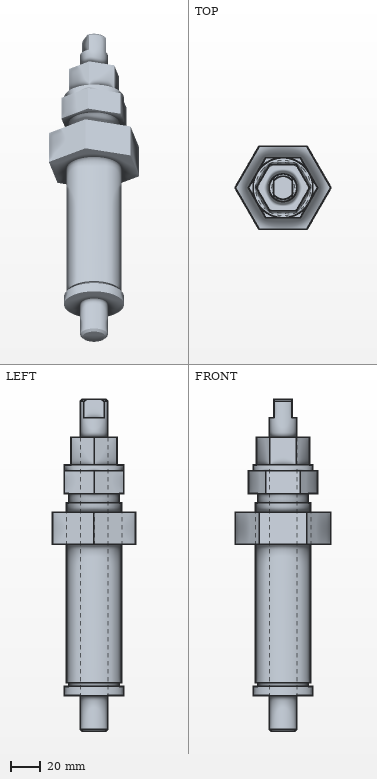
import cadquery as cq
import math

INCH = 25.4

overall_length = 9.0 * INCH
flange_bottom = 0.96875 * INCH
flange_thickness = 0.25 * INCH
lower_neck_length = 0.09375 * INCH
barrel_length = 4.875 * INCH
upper_neck_length = 0.25 * INCH
lower_hex_height = 0.625 * INCH
collar_thickness = 0.15625 * INCH
upper_hex_height = 0.75 * INCH

barrel_diameter = 1.5 * INCH
neck_diameter = 1.375 * INCH
flange_diameter = 1.625 * INCH
lower_hex_flats = flange_diameter
upper_hex_flats = 1.25 * INCH

rod_diameter = 0.75 * INCH
rod_chamfer = 0.0625 * INCH
rod_flats = 0.5 * INCH
rod_flats_length = 0.5 * INCH

nut_flats = 2.25 * INCH
nut_height = 0.875 * INCH
nut_setback = 0.25 * INCH

flange_top = flange_bottom + flange_thickness
barrel_bottom = flange_top + lower_neck_length
barrel_top = barrel_bottom + barrel_length
nut_bottom = barrel_top - nut_setback - nut_height


def disc(diameter, height, bottom=0):
    """Upright cylinder on the Z axis."""
    return cq.Workplane("XY").workplane(offset=bottom).circle(diameter / 2).extrude(height)


def hexagon(across_flats, height, bottom=0):
    """Upright hexagonal prism on the Z axis with corners on the X axis."""
    across_corners = across_flats / math.cos(math.pi / 6)
    return cq.Workplane("XY").workplane(offset=bottom).polygon(6, across_corners).extrude(height)


def make_body():
    """Barrel with necks, end flange and hexagonal head, bored through for the rod."""
    sections = [
        (disc, flange_diameter, flange_thickness),
        (disc, neck_diameter, lower_neck_length),
        (disc, barrel_diameter, barrel_length),
        (disc, neck_diameter, upper_neck_length),
        (hexagon, lower_hex_flats, lower_hex_height),
        (disc, flange_diameter, collar_thickness),
        (hexagon, upper_hex_flats, upper_hex_height),
    ]
    body = cq.Workplane("XY")
    bottom = flange_bottom
    for shape, width, height in sections:
        body = body.union(shape(width, height, bottom))
        bottom += height
    return body.cut(disc(rod_diameter, overall_length))


def make_rod():
    """Round rod chamfered at both ends, with two wrench flats facing X at the top."""
    rod = disc(rod_diameter, overall_length).faces("<Z or >Z").chamfer(rod_chamfer)
    flats_bottom = overall_length - rod_flats_length
    tongue_base = cq.Workplane("XY").workplane(offset=flats_bottom)
    tongue = tongue_base.rect(rod_flats, rod_diameter).extrude(rod_flats_length)
    waste = disc(rod_diameter, rod_flats_length, flats_bottom).cut(tongue)
    return rod.cut(waste)


def make_nut():
    """Plain hexagonal mounting nut around the barrel."""
    blank = hexagon(nut_flats, nut_height, nut_bottom)
    return blank.cut(disc(barrel_diameter, nut_height, nut_bottom))


body = make_body()
rod = make_rod()
nut = make_nut()

result = cq.Compound.makeCompound([body.val(), rod.val(), nut.val()])